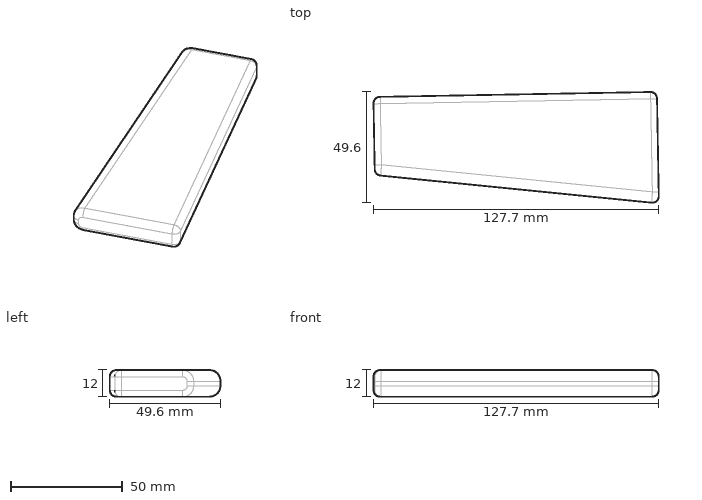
import cadquery as cq

length = 126.91
narrow_width = 35.0
wide_width = 49.99
thickness = 12.0
tilt = 1.03

edge_radius = 3.0
front_radius = 5.0


def tapered_blank():
    """Sharp-edged bar, middle of its back edge at the origin, centred in Z."""
    half_length = length / 2
    outline = [
        (-half_length, 0),
        (half_length, 0),
        (half_length, -wide_width),
        (-half_length, -narrow_width),
    ]
    return (
        cq.Workplane("XY")
        .workplane(offset=-thickness / 2)
        .polyline(outline)
        .close()
        .extrude(thickness)
    )


def round_front(bar):
    """Large rounds on the two long front edges, leaving a narrow flat between them."""
    return bar.faces("<Y").edges("not |Z").fillet(front_radius)


def round_remaining(bar):
    """Small rounds around both ends and along the two long back edges."""
    end_edges = bar.faces("<X or >X").edges()
    back_edges = bar.faces(">Y").edges("|X")
    return end_edges.add(back_edges).fillet(edge_radius)


def centre_in_plan(bar):
    """Move the middle of the outer size to the origin."""
    box = bar.val().BoundingBox()
    return bar.translate((-box.center.x, -box.center.y, 0))


bar = round_remaining(round_front(tapered_blank()))
result = centre_in_plan(bar.rotate((0, 0, 0), (0, 0, 1), tilt))